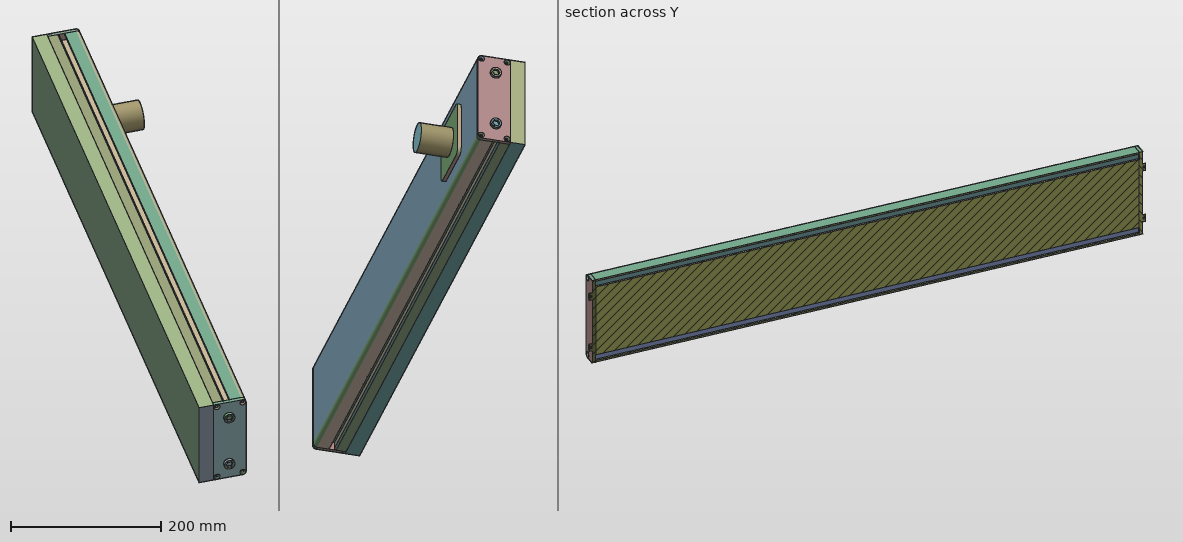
import cadquery as cq

total_length = 808.0
head_height = 4.0
length = total_length - 2 * head_height
height = 130.0
cover_thickness = 20.0
housing_depth = 45.0
cap_thickness = 5.0
rear_corner_radius = 6.0

groove_from_rear = 22.0
groove_width = 10.0
groove_depth = 11.0
groove_lip_thickness = 3.0
groove_undercut = 4.0
groove_chamfer = 2.5

head_diameter = 14.5
head_spacing = 80.0
head_from_rear = 24.0
socket_sides = 6
socket_width = 10.0
socket_depth = 3.0
corner_hole_diameter = 4.0
countersink_diameter = 8.0
countersink_angle = 90
corner_hole_inset = 5.0

flange_size = 80.0
flange_thickness = 5.0
flange_corner_radius = 8.0
stem_diameter = 40.0
stem_length = 44.5
stem_from_end = 120.0

rear_y = housing_depth / 2
front_y = -housing_depth / 2
half_length = length / 2
profile_length = length - 2 * cap_thickness
stem_x = stem_from_end - half_length


def rounded_block(block_length):
    """Housing section of the given length, its two long rear edges rounded."""
    block = cq.Workplane("XY").box(block_length, housing_depth, height)
    return block.edges("|X and >Y").fillet(rear_corner_radius)


def groove_cutter(side):
    """Undercut groove, chamfered on its front lip; side is +1 for the top, -1 for the bottom."""
    surface_z = side * height / 2
    lip_z = surface_z - side * groove_lip_thickness
    floor_z = surface_z - side * groove_depth
    lip_rear = rear_y - groove_from_rear
    lip_front = lip_rear - groove_width
    neck_front = lip_front + groove_chamfer
    return (
        cq.Workplane("YZ")
        .moveTo(lip_rear, surface_z)
        .lineTo(lip_rear, lip_z)
        .lineTo(lip_rear + groove_undercut, lip_z)
        .lineTo(lip_rear + groove_undercut, floor_z)
        .lineTo(neck_front, floor_z)
        .lineTo(neck_front, surface_z - side * groove_chamfer)
        .lineTo(lip_front, surface_z)
        .close()
        .extrude(profile_length / 2, both=True)
    )


def make_housing():
    housing = rounded_block(profile_length)
    for side in (1, -1):
        housing = housing.cut(groove_cutter(side))
    return housing


def make_cover():
    cover_y = front_y - cover_thickness / 2
    return cq.Workplane("XY").box(length, cover_thickness, height).translate((0, cover_y, 0))


def make_end_cap(end):
    """Cap with two socket heads and four corner holes; end is -1 at -X, +1 at +X."""
    cap_x = end * (half_length - cap_thickness / 2)
    outer_face = cq.Plane(origin=(end * half_length, 0, 0), xDir=(0, 1, 0), normal=(end, 0, 0))
    cap = (
        rounded_block(cap_thickness)
        .translate((cap_x, 0, 0))
        .copyWorkplane(cq.Workplane(outer_face))
        .rect(
            housing_depth - 2 * corner_hole_inset,
            height - 2 * corner_hole_inset,
            forConstruction=True,
        )
        .vertices()
        .cskHole(corner_hole_diameter, countersink_diameter, countersink_angle, cap_thickness)
    )
    head_y = rear_y - head_from_rear
    head_centers = [(head_y, head_spacing / 2), (head_y, -head_spacing / 2)]
    heads = (
        cq.Workplane(outer_face)
        .pushPoints(head_centers)
        .circle(head_diameter / 2)
        .extrude(head_height)
    )
    sockets = (
        cq.Workplane(outer_face)
        .workplane(offset=head_height)
        .pushPoints(head_centers)
        .polygon(socket_sides, socket_width)
        .extrude(-socket_depth)
    )
    return cap.union(heads).cut(sockets)


def make_stem():
    flange = (
        cq.Workplane("XZ", origin=(stem_x, rear_y, 0))
        .rect(flange_size, flange_size)
        .extrude(-flange_thickness)
        .edges("|Y")
        .fillet(flange_corner_radius)
    )
    post = (
        cq.Workplane("XZ", origin=(stem_x, rear_y + flange_thickness, 0))
        .circle(stem_diameter / 2)
        .extrude(-stem_length)
    )
    return flange.union(post)


housing = make_housing()
cover = make_cover()
end_caps = [make_end_cap(end) for end in (-1, 1)]
stem = make_stem()

result = cq.Compound.makeCompound(
    [housing.val(), cover.val(), *[cap.val() for cap in end_caps], stem.val()]
)